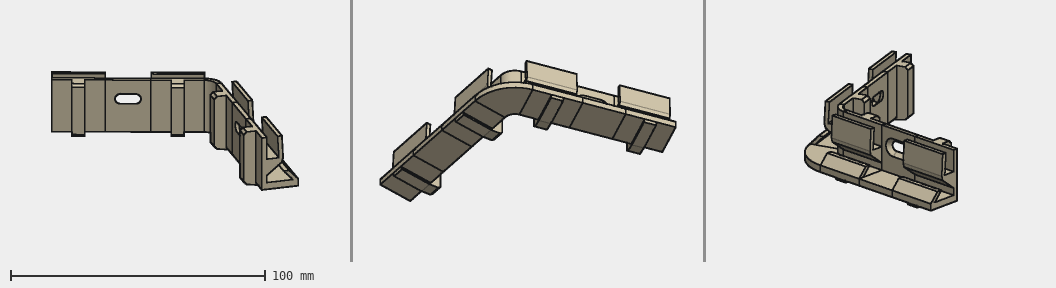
import cadquery as cq
import math

OVERALL_LENGTH = 97.4
TURN_ANGLE = 72.2
OUTER_RADIUS = 20.0
BASE_WIDTH = 15.0
INNER_RADIUS = OUTER_RADIUS - BASE_WIDTH
PLATE_LENGTH = 18.0

TURN_COS = math.cos(math.radians(TURN_ANGLE))
TURN_SIN = math.sin(math.radians(TURN_ANGLE))
ARM_LENGTH = (OVERALL_LENGTH - OUTER_RADIUS * TURN_SIN) / (1 + TURN_COS)
CLIP_LENGTH = (ARM_LENGTH - PLATE_LENGTH) / 2

BASE_THICKNESS = 2.9
WALL_THICKNESS = 2.0
WALL_HEIGHT = 22.0

LIP_FOOT_WIDTH = 2.3
LIP_TOP_WIDTH = 2.2
LIP_LEAN = 3.8
LIP_TOP_Z = 7.0

HOOK_TIP_INSIDE = 6.4
HOOK_TIP_OUTSIDE = 8.3
HOOK_FLOOR_INSIDE = 7.0
HOOK_BULGE_OUTSIDE = 8.8
HOOK_FLOOR_Z = 12.9
HOOK_BULGE_BOTTOM_Z = 10.9
HOOK_ROOT_Z = 5.9

RIB_WIDTH = 5.1
RIB_DEPTH = 5.0
RIB_DROP = 1.1
RIB_CHAMFER = 1.2
RIB_NOSE_BOTTOM_Z = -0.3
RIB_FLAT_START = 0.8
RIB_TAIL_CHAMFER = 0.7

SLOT_LENGTH = 10.1
SLOT_HEIGHT = 4.0
SLOT_Z = 14.0
SLOT_FLARE = 1.8


def extrude_section(points, start, length):
    """Extrude (offset from inner face, Z) points along an arm lying on X."""
    plane = cq.Workplane("YZ", origin=(start, INNER_RADIUS, 0))
    return plane.polyline(points).close().extrude(length)


def wall_and_base_points():
    return [
        (0, 0),
        (BASE_WIDTH, 0),
        (BASE_WIDTH, BASE_THICKNESS),
        (WALL_THICKNESS, BASE_THICKNESS),
        (WALL_THICKNESS, WALL_HEIGHT),
        (0, WALL_HEIGHT),
    ]


def clip_points():
    lip_top_outside = BASE_WIDTH - LIP_LEAN
    return [
        (0, 0),
        (BASE_WIDTH, 0),
        (BASE_WIDTH, BASE_THICKNESS),
        (lip_top_outside, LIP_TOP_Z),
        (lip_top_outside - LIP_TOP_WIDTH, LIP_TOP_Z),
        (BASE_WIDTH - LIP_FOOT_WIDTH, BASE_THICKNESS),
        (WALL_THICKNESS, BASE_THICKNESS),
        (WALL_THICKNESS, HOOK_ROOT_Z),
        (HOOK_TIP_OUTSIDE, HOOK_BULGE_BOTTOM_Z),
        (HOOK_BULGE_OUTSIDE, HOOK_FLOOR_Z),
        (HOOK_TIP_OUTSIDE, WALL_HEIGHT),
        (HOOK_TIP_INSIDE, WALL_HEIGHT),
        (HOOK_FLOOR_INSIDE, HOOK_FLOOR_Z),
        (WALL_THICKNESS, HOOK_FLOOR_Z),
        (WALL_THICKNESS, WALL_HEIGHT),
        (0, WALL_HEIGHT),
    ]


def rib_points():
    return [
        (0, WALL_HEIGHT),
        (RIB_CHAMFER - RIB_DEPTH, WALL_HEIGHT),
        (-RIB_DEPTH, WALL_HEIGHT - RIB_CHAMFER),
        (-RIB_DEPTH, RIB_NOSE_BOTTOM_Z + RIB_CHAMFER),
        (RIB_CHAMFER - RIB_DEPTH, RIB_NOSE_BOTTOM_Z),
        (RIB_FLAT_START, -RIB_DROP),
        (BASE_WIDTH - RIB_TAIL_CHAMFER, -RIB_DROP),
        (BASE_WIDTH, 0),
        (0, 0),
    ]


def make_clip(start):
    """Clip with lip, hook and a rib centred on its length."""
    rib_start = start + (CLIP_LENGTH - RIB_WIDTH) / 2
    body = extrude_section(clip_points(), start, CLIP_LENGTH)
    rib = extrude_section(rib_points(), rib_start, RIB_WIDTH)
    return body.union(rib)


def make_plate(start):
    """Plain length of wall and base with a countersunk slot in the wall."""
    body = extrude_section(wall_and_base_points(), start, PLATE_LENGTH)
    flare_angle = math.degrees(math.atan2(SLOT_FLARE, WALL_THICKNESS))
    slot_centre = (start + PLATE_LENGTH / 2, INNER_RADIUS + WALL_THICKNESS, SLOT_Z)
    slot = (
        cq.Workplane("XZ", origin=slot_centre)
        .slot2D(SLOT_LENGTH + 2 * SLOT_FLARE, SLOT_HEIGHT + 2 * SLOT_FLARE)
        .extrude(WALL_THICKNESS, taper=flare_angle)
    )
    return body.cut(slot)


def make_corner():
    """Wall and base section swept around the Z axis between the two arms."""
    section = [(INNER_RADIUS + offset, z) for offset, z in wall_and_base_points()]
    plane = cq.Workplane("YZ")
    return plane.polyline(section).close().revolve(TURN_ANGLE, (0, 0, 0), (0, 1, 0))


def rotate_about_corner(body, angle):
    return body.rotate((0, 0, 0), (0, 0, 1), angle)


ARMS = [(0, 0), (-ARM_LENGTH, TURN_ANGLE)]

corner = make_corner()
clips = []
plates = []
for arm_start, arm_turn in ARMS:
    plate_start = arm_start + CLIP_LENGTH
    plates.append(rotate_about_corner(make_plate(plate_start), arm_turn))
    for clip_start in (arm_start, plate_start + PLATE_LENGTH):
        clips.append(rotate_about_corner(make_clip(clip_start), arm_turn))

result = cq.Compound.makeCompound(
    [corner.val()] + [body.val() for body in clips + plates]
)